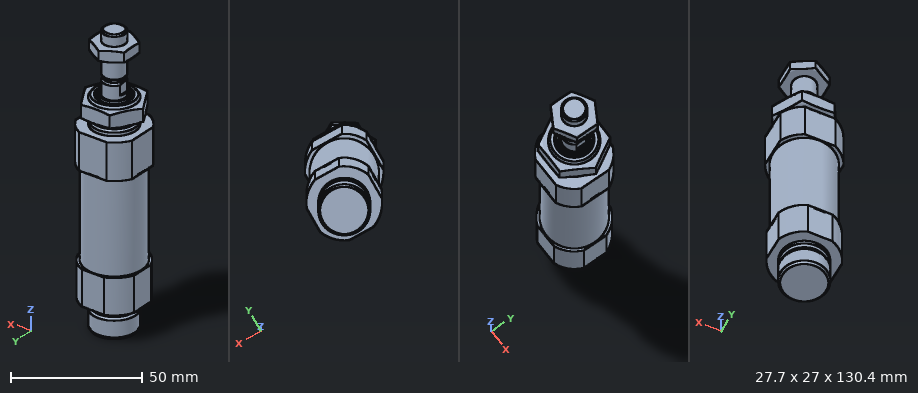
import cadquery as cq
import math

total_length = 130.4
thread_diameter = 20.0
thread_end_diameter = 18.4
thread_chamfer_height = 1.2
thread_relief_diameter = 18.0

rear_relief_low = 8.5
rear_relief_core_low = 9.5
rear_relief_core_high = 10.5
rear_relief_high = 11.6
rear_cap_bottom = 13.3
rear_cap_top = 29.6
rear_cap_corner_diameter = 29.0

tube_diameter = 26.5

cap_width = 27.0
front_cap_bottom = 72.2
front_cap_top = 89.0
front_cap_corner_diameter = 30.0
front_relief_low = 90.6
front_relief_core_low = 91.5
front_relief_core_high = 92.2
front_relief_high = 93.2
neck_top = 101.8

wiper_mouth_diameter = 15.4
wiper_mouth_chamfer_height = 0.4
wiper_groove_diameter = 14.1
wiper_groove_depth = 1.0
wiper_lip_tip_diameter = 11.5
wiper_lip_root_diameter = 12.3

rod_diameter = 10.0
rod_bottom = front_cap_bottom
rod_tip_diameter = 8.6
rod_groove_diameter = 8.3
rod_groove_low = 108.2
rod_groove_high = 111.0
rod_flat_width = 9.0
rod_flat_bottom = 103.8

rod_nut_width = 17.0
rod_nut_bottom = 120.4
rod_nut_height = 5.0
mounting_nut_width = 24.0
mounting_nut_bottom = 94.0
mounting_nut_height = 6.7
nut_chamfer_angle = 15.0
hex_half_step = 30.0


def revolved(profile):
    """Solid of revolution about Z from a list of (radius, height) points."""
    return cq.Workplane("XZ").polyline(profile).close().revolve(360, (0, 0), (0, 1))


def cylinder(diameter, bottom, top):
    return cq.Workplane("XY").workplane(offset=bottom).circle(diameter / 2).extrude(top - bottom)


def square_cap(corner_diameter, bottom, top):
    """Round cap with four wrench flats."""
    blank = cylinder(corner_diameter, bottom, top)
    flats = cq.Workplane("XY").workplane(offset=bottom).rect(cap_width, cap_width).extrude(top - bottom)
    return blank.intersect(flats)


def rear_stub():
    """Rear thread with a chamfered end and a relief groove next to the cap."""
    outer = thread_diameter / 2
    core = thread_relief_diameter / 2
    return revolved([
        (0, 0),
        (thread_end_diameter / 2, 0),
        (outer, thread_chamfer_height),
        (outer, rear_relief_low),
        (core, rear_relief_core_low),
        (core, rear_relief_core_high),
        (outer, rear_relief_high),
        (outer, rear_cap_bottom),
        (0, rear_cap_bottom),
    ])


def front_stub():
    """Front thread with a chamfered end and a relief groove next to the cap."""
    outer = thread_diameter / 2
    core = thread_relief_diameter / 2
    return revolved([
        (0, front_cap_top),
        (outer, front_cap_top),
        (outer, front_relief_low),
        (core, front_relief_core_low),
        (core, front_relief_core_high),
        (outer, front_relief_high),
        (outer, neck_top - thread_chamfer_height),
        (thread_end_diameter / 2, neck_top),
        (0, neck_top),
    ])


def wiper_groove():
    """Cutter for the ring groove around the wiper lip."""
    floor = neck_top - wiper_groove_depth
    wall = wiper_groove_diameter / 2
    return revolved([
        (wiper_lip_tip_diameter / 2, neck_top),
        (wiper_lip_root_diameter / 2, floor),
        (wall, floor),
        (wall, neck_top - wiper_mouth_chamfer_height),
        (wiper_mouth_diameter / 2, neck_top),
    ])


def make_housing():
    """Tube with its end caps and stubs in one piece, bored for the rod."""
    housing = (
        rear_stub()
        .union(square_cap(rear_cap_corner_diameter, rear_cap_bottom, rear_cap_top))
        .union(cylinder(tube_diameter, rear_cap_top, front_cap_bottom))
        .union(square_cap(front_cap_corner_diameter, front_cap_bottom, front_cap_top))
        .union(front_stub())
    )
    rod_bore = cylinder(rod_diameter, rod_bottom, neck_top)
    return housing.cut(rod_bore).cut(wiper_groove())


def make_rod():
    """Piston rod with a tip chamfer, a groove with 45 degree sides and two wrench flats below it."""
    outer = rod_diameter / 2
    tip = rod_tip_diameter / 2
    core = rod_groove_diameter / 2
    groove_side = outer - core
    rod = revolved([
        (0, rod_bottom),
        (outer, rod_bottom),
        (outer, rod_groove_low),
        (core, rod_groove_low + groove_side),
        (core, rod_groove_high - groove_side),
        (outer, rod_groove_high),
        (outer, total_length - (outer - tip)),
        (tip, total_length),
        (0, total_length),
    ])
    flat_height = rod_groove_low + groove_side - rod_flat_bottom
    for side in (-1, 1):
        cutter = (
            cq.Workplane("XY")
            .workplane(offset=rod_flat_bottom)
            .center(side * (rod_flat_width + outer) / 2, 0)
            .rect(outer, rod_diameter)
            .extrude(flat_height)
        )
        rod = rod.cut(cutter)
    return rod


def make_nut(width, bottom, height, bore_diameter, turn):
    """Hex nut chamfered down to its inscribed circle; turn rotates its corners away from X."""
    corner_diameter = width / math.cos(math.radians(hex_half_step))
    hexagon = (
        cq.Workplane("XY")
        .polygon(6, corner_diameter)
        .extrude(height)
        .rotate((0, 0, 0), (0, 0, 1), turn)
    )
    face = width / 2
    rim = corner_diameter / 2
    drop = (rim - face) * math.tan(math.radians(nut_chamfer_angle))
    envelope = revolved([
        (0, 0),
        (face, 0),
        (rim, drop),
        (rim, height - drop),
        (face, height),
        (0, height),
    ])
    nut = hexagon.intersect(envelope).cut(cylinder(bore_diameter, 0, height))
    return nut.translate((0, 0, bottom))


housing = make_housing()
rod = make_rod()
rod_nut = make_nut(rod_nut_width, rod_nut_bottom, rod_nut_height, rod_diameter, hex_half_step)
mounting_nut = make_nut(mounting_nut_width, mounting_nut_bottom, mounting_nut_height, thread_diameter, 0)

result = cq.Compound.makeCompound([housing.val(), rod.val(), rod_nut.val(), mounting_nut.val()])